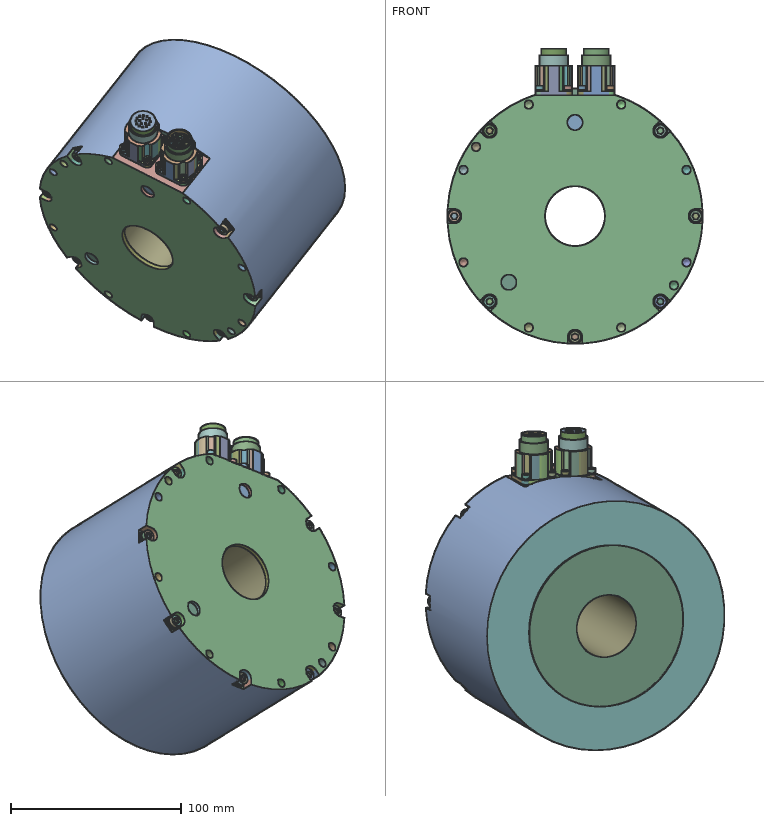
import cadquery as cq
import math

body_dia = 150.0
body_radius = body_dia / 2
total_length = 100.0
back_disc_height = 1.0
back_disc_dia = 97.2
body_length = total_length - back_disc_height

bore_dia = 35.0
bore_wide_dia = 37.5
bore_lip_length = 2.6

flat_height = 71.0
flat_length = 30.0

rim_circle_radius = 71.0
rim_hole_dia = 5.0
rim_hole_depth = 10.0
drill_point_angle = 118
rim_hole_angles = [22.5 + 45 * i for i in range(8)] + [145, -35]
recess_dia = 9.0
recess_depth = 2.0
recess_circle_radius = 55.0
recess_angles = [90, 225]

screw_angles = [angle for angle in range(0, 360, 45) if angle != 90]
slot_width = 8.5
slot_depth = 7.0
washer_dia = 8.0
washer_thickness = 1.0
spring_washer_dia = 7.3
spring_washer_thickness = 1.0
screw_head_dia = 7.0
screw_head_height = 2.6
screw_socket_dia = 4.2
screw_socket_depth = 1.5

socket_lobes = 6
socket_waist_ratio = 0.85

connector_spacing = 25.0
connector_inset = 15.0
flange_width = 21.5
flange_thickness = 2.5
flange_corner_radius = 3.1
overall_height = 173.5
connector_top = overall_height - body_radius
connector_height = connector_top - flat_height
tip_height = 3.8
collar_height = 6.5
tip_dia = 15.0
collar_dia = 17.0
shell_height = connector_height - tip_height - collar_height
side_flat_width = 1.0
front_key_width = 6.2

corner_pocket_radius = 2.5
corner_pocket_flare = 30

flange_screw_inset = 2.5
flange_screw_shank_dia = 4.0
flange_screw_gap = 0.9
flange_screw_head_dia = 4.5
flange_screw_head_height = 2.5
flange_screw_socket_dia = 2.5
flange_screw_socket_depth = 1.0

contact_hole_dia = 1.0
contact_hole_depth = 1.0
contact_core_dia = 0.5
contact_core_depth = 2.0
outer_contacts = 12
outer_contact_radius = 4.2
inner_contacts = 5
inner_contact_radius = 2.0
inner_contact_start = 270

cavity_dia = 13.7
cavity_depth = 4.9
insert_dia = 12.0
insert_height = 1.0
post_dia = 3.1
post_hole_dia = 1.0
pin_dia = 1.5
post_height = 4.3
post_circle_radius = 4.0
post_angles = [30, 150, 210, 270, 330]
pin_angle = 90

overlap = 1.7


def on_circle(radius, angle):
    """Point at the given angle, in degrees, on a circle about the local origin."""
    return (radius * math.cos(math.radians(angle)), radius * math.sin(math.radians(angle)))


def along_y(dia, start, length):
    """Cylinder on the drum axis that runs toward +Y from Y = start."""
    return cq.Workplane("XZ", origin=(0, start, 0)).circle(dia / 2).extrude(-length)


def disc(dia, bottom, height):
    """Upright cylinder on the local Z axis."""
    return cq.Workplane("XY").workplane(offset=bottom).circle(dia / 2).extrude(height)


def star_socket(dia, top, depth):
    """Star-shaped solid, ending at the given top, that cuts a screw socket."""
    sketch = cq.Workplane("XY").workplane(offset=top - depth)
    radius = dia / 2
    waist_radius = radius * socket_waist_ratio
    points = []
    for lobe in range(socket_lobes):
        angle = lobe * 360 / socket_lobes
        points.append(on_circle(radius, angle))
        points.append(on_circle(waist_radius, angle + 180 / socket_lobes))
    return sketch.polyline(points).close().extrude(depth)


def on_front_face(shape, angle):
    """Turn a solid built upward on XY, at +X, to stand on the front face at the given angle."""
    return shape.rotate((0, 0, 0), (0, 0, 1), angle).rotate((0, 0, 0), (1, 0, 0), 90)


def drum():
    body = along_y(body_dia, 0, body_length)
    body = body.union(along_y(back_disc_dia, body_length - overlap, back_disc_height + overlap))
    body = body.cut(along_y(bore_dia, 0, total_length))
    body = body.cut(along_y(bore_wide_dia, bore_lip_length, total_length))
    flat_cut = cq.Workplane("XY").box(
        body_dia, flat_length, body_radius, centered=(True, False, False)
    )
    return body.cut(flat_cut.translate((0, 0, flat_height)))


def rim_hole():
    radius = rim_hole_dia / 2
    tip_depth = radius / math.tan(math.radians(drill_point_angle / 2))
    profile = [
        (0, 0),
        (radius, 0),
        (radius, -rim_hole_depth),
        (0, -rim_hole_depth - tip_depth),
    ]
    hole = cq.Workplane("XZ").polyline(profile).close().revolve(360, (0, 0, 0), (0, 1, 0))
    return hole.translate((rim_circle_radius, 0, 0))


def face_recess():
    return disc(recess_dia, -recess_depth, recess_depth).translate((recess_circle_radius, 0, 0))


def rim_slot():
    """Round-ended slot that runs outward through the rim."""
    reach = body_radius - rim_circle_radius + overlap
    slot = disc(slot_width, -slot_depth, slot_depth)
    channel = cq.Workplane("XY").box(reach, slot_width, slot_depth, centered=(False, True, False))
    slot = slot.union(channel.translate((0, 0, -slot_depth)))
    return slot.translate((rim_circle_radius, 0, 0))


def rim_screw():
    washer_bottom = -slot_depth - overlap
    washer_top = -slot_depth + washer_thickness
    head_bottom = washer_top + spring_washer_thickness
    head_top = head_bottom + screw_head_height
    screw = disc(washer_dia, washer_bottom, washer_thickness + overlap)
    screw = screw.union(disc(spring_washer_dia, washer_top, spring_washer_thickness))
    screw = screw.union(disc(screw_head_dia, head_bottom, screw_head_height))
    screw = screw.cut(star_socket(screw_socket_dia, head_top, screw_socket_depth))
    return screw.translate((rim_circle_radius, 0, 0))


def flange_screw():
    head_bottom = flange_thickness + flange_screw_gap
    head_top = head_bottom + flange_screw_head_height
    screw = disc(flange_screw_shank_dia, 0, head_bottom)
    screw = screw.union(disc(flange_screw_head_dia, head_bottom, flange_screw_head_height))
    return screw.cut(star_socket(flange_screw_socket_dia, head_top, flange_screw_socket_depth))


def corner_pocket():
    """Upright pocket about a flange screw: a quarter arc whose two walls flare outward."""
    radius = corner_pocket_radius
    reach = flange_screw_inset + overlap
    spread = radius + reach * math.tan(math.radians(corner_pocket_flare))
    pocket = cq.Workplane("XY").moveTo(-spread, reach).lineTo(-radius, 0)
    pocket = pocket.threePointArc(on_circle(radius, 225), (0, -radius)).lineTo(reach, -spread)
    return pocket.lineTo(reach, reach).close().extrude(shell_height)


def connector_shell():
    """Flange, fluted shell, collar and tip, standing on the local XY plane."""
    half = flange_width / 2
    shell_radius = math.hypot(half, side_flat_width / 2)
    square = cq.Workplane("XY").rect(flange_width, flange_width).extrude(shell_height)
    shell = disc(2 * shell_radius, 0, shell_height).intersect(square)
    key = cq.Workplane("XY").box(front_key_width, half, shell_height, centered=(True, False, False))
    shell = shell.union(key.translate((0, -half, 0)))

    flange = cq.Workplane("XY").rect(flange_width, flange_width).extrude(flange_thickness)
    flange = flange.edges("|Z").fillet(flange_corner_radius)
    screw_offset = half - flange_screw_inset
    corner = (screw_offset, screw_offset, 0)
    for turn in range(0, 360, 90):
        pocket = corner_pocket().translate(corner).rotate((0, 0, 0), (0, 0, 1), turn)
        screw = flange_screw().translate(corner).rotate((0, 0, 0), (0, 0, 1), turn)
        shell = shell.cut(pocket)
        flange = flange.union(screw)

    connector = flange.union(shell)
    connector = connector.union(disc(collar_dia, shell_height, collar_height))
    return connector.union(disc(tip_dia, shell_height + collar_height, tip_height))


def signal_connector():
    """Connector with contact holes on an outer and an inner circle."""
    contacts = []
    for i in range(outer_contacts):
        contacts.append(on_circle(outer_contact_radius, i * 360 / outer_contacts))
    for i in range(inner_contacts):
        angle = inner_contact_start + i * 360 / inner_contacts
        contacts.append(on_circle(inner_contact_radius, angle))
    top = cq.Workplane("XY").workplane(offset=connector_height).pushPoints(contacts)
    holes = top.circle(contact_hole_dia / 2).extrude(-contact_hole_depth)
    cores = top.circle(contact_core_dia / 2).extrude(-contact_core_depth)
    return connector_shell().cut(holes).cut(cores)


def power_connector():
    """Connector with an open cavity, a raised insert, six hollow posts and one solid pin."""
    floor = connector_height - cavity_depth
    posts = [(0, 0)] + [on_circle(post_circle_radius, angle) for angle in post_angles]
    floor_plane = cq.Workplane("XY").workplane(offset=floor)
    post_solids = floor_plane.pushPoints(posts).circle(post_dia / 2).circle(post_hole_dia / 2)
    pin = floor_plane.pushPoints([on_circle(post_circle_radius, pin_angle)])
    cavity = disc(cavity_dia, floor, cavity_depth)
    connector = connector_shell().cut(cavity).union(disc(insert_dia, floor, insert_height))
    connector = connector.union(post_solids.extrude(post_height))
    return connector.union(pin.circle(pin_dia / 2).extrude(post_height))


result = drum()
for hole_angle in rim_hole_angles:
    result = result.cut(on_front_face(rim_hole(), hole_angle))
for recess_angle in recess_angles:
    result = result.cut(on_front_face(face_recess(), recess_angle))
for screw_angle in screw_angles:
    result = result.cut(on_front_face(rim_slot(), screw_angle))
    result = result.union(on_front_face(rim_screw(), screw_angle))

connector_x = connector_spacing / 2
result = result.union(signal_connector().translate((-connector_x, connector_inset, flat_height)))
result = result.union(power_connector().translate((connector_x, connector_inset, flat_height)))